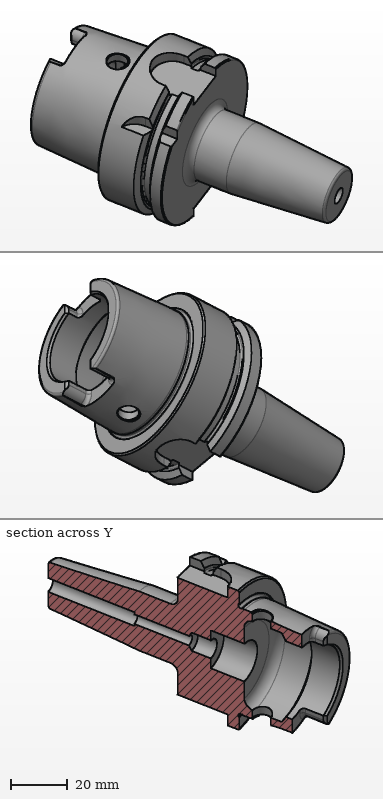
import cadquery as cq
import math


shank_length = 32.0
taper_large_radius = 24.2
taper_large_x = -2.2
neck_radius = 48.04 / 2
neck_start_x = -1.0
neck_step_run = 0.2
taper_ratio = 1 / 20
shank_end_round = 1.0
shank_end_x = -shank_length
shank_end_radius = taper_large_radius - (taper_large_x - shank_end_x) * taper_ratio

relief_radius = 25.4
relief_depth = 0.5
relief_root_round = 0.8

flange_radius = 63.0 / 2
flange_width = 26.0
flange_front_chamfer = 0.6
flange_back_round = 0.4
groove_center_x = 18.0
groove_width = 3.75
groove_radius = 27.45
groove_root_round = 0.6
flank_inner_radius = 29.0
flank_angle = 30.0
flank_run = (flange_radius - flank_inner_radius) * math.tan(math.radians(flank_angle))

nose_end_x = 80.0
nose_radius = 27.0 / 2
nose_tip_radius = 21.0 / 2
nose_cone_start_x = 42.0
nose_root_round = 3.0
nose_tip_round = 1.0

mouth_radius = 34.0 / 2
mouth_chamfer_width = 0.6
mouth_chamfer_run = 1.0
mouth_depth = 12.7
cavity_radius = 40.0 / 2
cavity_floor_x = -2.0
cavity_floor_round = 4.0
cavity_cone_half_angle = 60.0
cavity_cone_run = (cavity_radius - mouth_radius) / math.tan(math.radians(cavity_cone_half_angle))

coolant_tube_radius = 16.92 / 2
coolant_tube_depth = 14.0
pilot_radius = 8.0 / 2
pilot_depth = 8.0
passage_radius = 4.13 / 2
drill_point_half_angle = 59.0
tool_bore_radius = 6.0 / 2
tool_bore_depth = 36.0

drive_slot_half_width = 12.54 / 2
drive_slot_depth_top = 6.0
drive_slot_depth_bottom = 10.0
drive_lip_height = 20.7
drive_lip_round = 3.0
drive_floor_round = 1.5
drive_entry_chamfer = 1.0

access_hole_x = -9.2
access_hole_radius = 7.5 / 2
access_countersink_radius = 8.6 / 2

flange_slot_width = 16.0
flange_slot_start_x = 5.0
flange_slot_floor = 26.5
notch_floor = 20.0
notch_wall = 20.0

OUTSIDE = 40.0


def turned_body():
    """Outside of the holder, revolved from its half section."""
    groove_start_x = groove_center_x - groove_width / 2
    groove_end_x = groove_center_x + groove_width / 2
    root_radius = groove_radius + groove_root_round
    outline = (
        cq.Workplane("XY")
        .moveTo(shank_end_x, 0)
        .lineTo(shank_end_x, shank_end_radius)
        .lineTo(taper_large_x, taper_large_radius)
        .lineTo(neck_start_x - neck_step_run, taper_large_radius)
        .lineTo(neck_start_x, neck_radius)
        .lineTo(relief_depth - relief_root_round, neck_radius)
        .tangentArcPoint((relief_depth, neck_radius + relief_root_round), relative=False)
        .lineTo(relief_depth, relief_radius)
        .lineTo(0, relief_radius)
        .lineTo(0, flange_radius - flange_front_chamfer)
        .lineTo(flange_front_chamfer, flange_radius)
        .lineTo(groove_start_x - flank_run, flange_radius)
        .lineTo(groove_start_x, flank_inner_radius)
        .lineTo(groove_start_x, root_radius)
        .tangentArcPoint((groove_start_x + groove_root_round, groove_radius), relative=False)
        .lineTo(groove_end_x - groove_root_round, groove_radius)
        .tangentArcPoint((groove_end_x, root_radius), relative=False)
        .lineTo(groove_end_x, flank_inner_radius)
        .lineTo(groove_end_x + flank_run, flange_radius)
        .lineTo(flange_width - flange_back_round, flange_radius)
        .tangentArcPoint((flange_width, flange_radius - flange_back_round), relative=False)
        .lineTo(flange_width, nose_radius + nose_root_round)
        .tangentArcPoint((flange_width + nose_root_round, nose_radius), relative=False)
        .lineTo(nose_cone_start_x, nose_radius)
        .lineTo(nose_end_x, nose_tip_radius)
        .lineTo(nose_end_x, 0)
        .close()
    )
    body = outline.revolve(360, (0, 0, 0), (1, 0, 0))
    body = body.faces(">X").edges().fillet(nose_tip_round)
    return body.faces("<X").edges().fillet(shank_end_round)


def axial_bores():
    """Clamping cavity, coolant bores and tool bore, as one revolved cutter."""
    cone_end_x = shank_end_x + mouth_depth + cavity_cone_run
    tube_end_x = cavity_floor_x + coolant_tube_depth
    pilot_end_x = tube_end_x + pilot_depth
    point_run = (pilot_radius - passage_radius) / math.tan(math.radians(drill_point_half_angle))
    tool_bore_x = nose_end_x - tool_bore_depth
    outline = (
        cq.Workplane("XY")
        .moveTo(shank_end_x, 0)
        .lineTo(shank_end_x, mouth_radius + mouth_chamfer_width)
        .lineTo(shank_end_x + mouth_chamfer_run, mouth_radius)
        .lineTo(shank_end_x + mouth_depth, mouth_radius)
        .lineTo(cone_end_x, cavity_radius)
        .lineTo(cavity_floor_x - cavity_floor_round, cavity_radius)
        .tangentArcPoint((cavity_floor_x, cavity_radius - cavity_floor_round), relative=False)
        .lineTo(cavity_floor_x, coolant_tube_radius)
        .lineTo(tube_end_x, coolant_tube_radius)
        .lineTo(tube_end_x, pilot_radius)
        .lineTo(pilot_end_x, pilot_radius)
        .lineTo(pilot_end_x + point_run, passage_radius)
        .lineTo(tool_bore_x, passage_radius)
        .lineTo(tool_bore_x, tool_bore_radius)
        .lineTo(nose_end_x, tool_bore_radius)
        .lineTo(nose_end_x, 0)
        .close()
    )
    return outline.revolve(360, (0, 0, 0), (1, 0, 0))


def drive_slot(depth):
    """Slot on the +Z side of the shank end, widening outward over rounded lips."""
    lip_y = drive_slot_half_width + drive_lip_round
    slot = (
        cq.Workplane("YZ", origin=(shank_end_x, 0, 0))
        .lineTo(drive_slot_half_width, 0)
        .lineTo(drive_slot_half_width, drive_lip_height - drive_lip_round)
        .tangentArcPoint((lip_y, drive_lip_height), relative=False)
        .lineTo(lip_y, OUTSIDE)
        .lineTo(0, OUTSIDE)
        .mirrorY()
        .extrude(depth)
    )
    slot = slot.faces(">X").edges().fillet(drive_floor_round)
    entry_half_width = drive_slot_half_width + drive_entry_chamfer
    entry_end_x = shank_end_x + drive_entry_chamfer
    entry = (
        cq.Workplane("XY")
        .moveTo(shank_end_x, -entry_half_width)
        .lineTo(shank_end_x, entry_half_width)
        .lineTo(entry_end_x, drive_slot_half_width)
        .lineTo(entry_end_x, -drive_slot_half_width)
        .close()
        .extrude(OUTSIDE)
    )
    return slot.union(entry)


def access_hole():
    """Hole through both shank walls along Z, countersunk at the taper surface."""
    drill = (
        cq.Workplane("XY", origin=(access_hole_x, 0, -OUTSIDE))
        .circle(access_hole_radius)
        .extrude(2 * OUTSIDE)
    )
    surface_radius = taper_large_radius - (taper_large_x - access_hole_x) * taper_ratio
    sink_depth = access_countersink_radius - access_hole_radius
    sink = (
        cq.Workplane("XY", origin=(access_hole_x, 0, surface_radius - sink_depth))
        .circle(access_hole_radius)
        .workplane(offset=sink_depth)
        .circle(access_countersink_radius)
        .loft()
    )
    return drill.union(sink).union(sink.mirror("XY"))


def flange_slot(center_y, floor_z):
    """Round-ended cutter path along X, open through the back of the flange."""
    end_radius = flange_slot_width / 2
    end_center_x = flange_slot_start_x + end_radius
    return (
        cq.Workplane("XY", origin=(end_center_x, center_y, floor_z))
        .moveTo(0, end_radius)
        .threePointArc((-end_radius, 0), (0, -end_radius))
        .lineTo(flange_width - end_center_x, -end_radius)
        .lineTo(flange_width - end_center_x, end_radius)
        .close()
        .extrude(OUTSIDE)
    )


result = turned_body().cut(axial_bores())
result = result.cut(drive_slot(drive_slot_depth_top))
result = result.cut(drive_slot(drive_slot_depth_bottom).mirror("XY"))
result = result.cut(access_hole())

top_flange_slot = flange_slot(0, flange_slot_floor)
result = result.cut(top_flange_slot)
result = result.cut(top_flange_slot.mirror("XY"))
side_notch = flange_slot(-notch_wall - flange_slot_width / 2, notch_floor)
result = result.cut(side_notch)